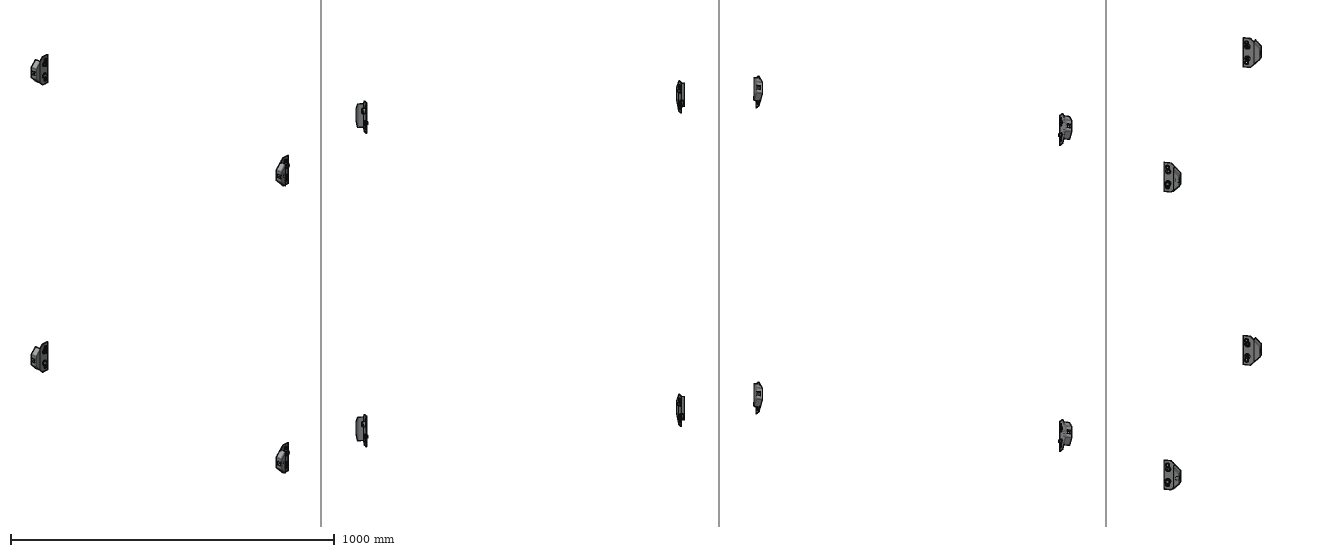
import cadquery as cq

overall_width = 1043.0
overall_height = 1099.0

bracket_depth = 54.0
bracket_height = 98.0
corner_slope = 31.0
nose_radius = 3.0
side_radius = 2.7
inner_radius = 1.0

block_width = 20.0
block_depth = 20.0
plate_thickness = 2.7

socket_size = 12.0
socket_depth = 13.0

pin_setback = 13.0
pin_height = 20.0
pin_diameter = 9.0
pin_length = 7.0
pin_chamfer = 1.0
pin_head_diameter = 16.0
pin_head_thickness = 1.0
cup_diameter = 11.0
cup_depth = 10.0
dome_diameter = 18.0
dome_length = 10.0
dome_chamfer = 2.0

mount_hole_diameter = 8.0
mount_hole_setback = 11.0
mount_hole_height = 33.0
counterbore_diameter = 13.0
counterbore_depth = 1.0

bracket_width = block_width + plate_thickness
rear_y = bracket_depth / 2
nose_y = -rear_y
half_height = bracket_height / 2
nose_half_height = half_height - corner_slope
pin_y = rear_y - pin_setback
mount_hole_y = rear_y - mount_hole_setback


def x_cylinder(diameter, start_x, end_x, y, z):
    """Cylinder along X between two X positions."""
    return cq.Workplane("YZ", origin=(start_x, y, z)).circle(diameter / 2).extrude(end_x - start_x)


def make_blank():
    """Block and plate in one piece, with the outer side at X = 0 and the inner side at +X."""
    outline = [
        (rear_y, half_height),
        (rear_y, -half_height),
        (nose_y + corner_slope, -half_height),
        (nose_y, -nose_half_height),
        (nose_y, nose_half_height),
        (nose_y + corner_slope, half_height),
    ]
    blank = cq.Workplane("YZ").polyline(outline).close().extrude(bracket_width)
    blank = blank.edges("|X and <Y").fillet(nose_radius)
    blank = blank.faces(">X").edges().fillet(inner_radius)
    space_over_plate = (
        cq.Workplane("XY")
        .box(block_width, bracket_depth - block_depth, bracket_height, centered=(False, False, True))
        .translate((0, nose_y + block_depth, 0))
    )
    blank = blank.cut(space_over_plate)
    return blank.faces("<X").edges().fillet(side_radius)


def make_socket():
    """Square recess entering the nose, centred on the block."""
    return (
        cq.Workplane("XY")
        .box(socket_size, socket_depth, socket_size, centered=(True, False, True))
        .translate((block_width / 2, nose_y, 0))
    )


def make_dome():
    """Closed boss on the outer face of the plate, covering the cup."""
    dome = x_cylinder(dome_diameter, block_width - dome_length, bracket_width, pin_y, -pin_height)
    return dome.faces("<X").edges().chamfer(dome_chamfer)


def make_cup():
    """Blind round recess entering the dome from the inner side."""
    return x_cylinder(cup_diameter, bracket_width - cup_depth, bracket_width, pin_y, -pin_height)


def make_mount_hole(z):
    """Through hole with its counterbore on the inner side of the plate."""
    hole = x_cylinder(mount_hole_diameter, block_width, bracket_width, mount_hole_y, z)
    counterbore_x = bracket_width - counterbore_depth
    return hole.union(x_cylinder(counterbore_diameter, counterbore_x, bracket_width, mount_hole_y, z))


def make_pin():
    """Headed pin: the head is flush with the outer face of the plate and the tip stands inwards."""
    tip_x = bracket_width + pin_length
    shank = x_cylinder(pin_diameter, block_width, tip_x, pin_y, pin_height)
    shank = shank.faces(">X").edges().chamfer(pin_chamfer)
    head_end_x = block_width + pin_head_thickness
    return shank.union(x_cylinder(pin_head_diameter, block_width, head_end_x, pin_y, pin_height))


def make_bracket():
    """Finished bracket, with a seat that matches the pin."""
    bracket = make_blank().cut(make_socket())
    bracket = bracket.union(make_dome()).cut(make_cup())
    for z in (-mount_hole_height, mount_hole_height):
        bracket = bracket.cut(make_mount_hole(z))
    return bracket.cut(make_pin())


def place_at_corners(body):
    """Four copies: the right-hand pair is the left-hand pair turned half a turn about Y."""
    level = (overall_height - bracket_height) / 2
    left = body.translate((-overall_width / 2, 0, 0))
    copies = []
    for turn in (0, 180):
        turned = left.rotate((0, 0, 0), (0, 1, 0), turn)
        for z in (-level, level):
            copies.append(turned.translate((0, 0, z)).val())
    return copies


brackets = place_at_corners(make_bracket())
pins = place_at_corners(make_pin())
result = cq.Compound.makeCompound([*brackets, *pins])